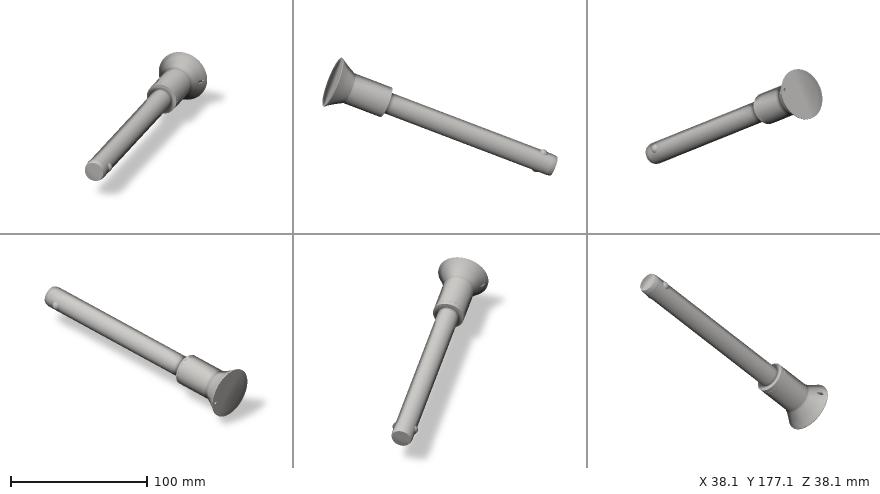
import cadquery as cq
import math

total_length = 177.1
tip_y = -total_length / 2
head_y = total_length / 2

rim_radius = 19.04
rim_thickness = 0.5
flare_end_y = head_y - 12.4
flare_sag = 0.4

sleeve_radius = 11.7
neck_radius = 12.0
neck_length = 0.9
sleeve_end_y = head_y - 42.9

groove_depth = 0.09
groove_width = 1.6
groove_offset = 1.6

shank_radius = 8.0
tip_radius = 7.3
tip_rounding_length = 3.4

ball_radius = 3.5
ball_reach = 9.5
ball_offset = 11.3

lanyard_diameter = 2.7
lanyard_x = 16.0


def make_body():
    """Revolve the half outline of head, sleeve and shank about the Y axis."""
    flare_start_y = head_y - rim_thickness
    flare_height = flare_start_y - flare_end_y
    flare_drop = rim_radius - neck_radius
    flare_slant = math.hypot(flare_height, flare_drop)
    flare_mid = (
        (rim_radius + neck_radius) / 2 - flare_sag * flare_height / flare_slant,
        (flare_start_y + flare_end_y) / 2 + flare_sag * flare_drop / flare_slant,
    )

    shank_end_y = tip_y + tip_rounding_length
    tip_inset = shank_radius - tip_radius
    arc_radius = (tip_rounding_length**2 + tip_inset**2) / (2 * tip_inset)
    half_angle = math.asin(tip_rounding_length / arc_radius) / 2
    tip_mid = (
        shank_radius - arc_radius * (1 - math.cos(half_angle)),
        shank_end_y - arc_radius * math.sin(half_angle),
    )

    return (
        cq.Workplane("XY")
        .moveTo(0, head_y)
        .lineTo(rim_radius, head_y)
        .lineTo(rim_radius, flare_start_y)
        .threePointArc(flare_mid, (neck_radius, flare_end_y))
        .lineTo(sleeve_radius, flare_end_y - neck_length)
        .lineTo(sleeve_radius, sleeve_end_y)
        .lineTo(shank_radius, sleeve_end_y)
        .lineTo(shank_radius, shank_end_y)
        .threePointArc(tip_mid, (tip_radius, tip_y))
        .lineTo(0, tip_y)
        .close()
        .revolve(360, (0, 0, 0), (0, 1, 0))
    )


def make_sleeve_groove():
    """Ring that cuts the shallow groove around the sleeve."""
    start_y = sleeve_end_y + groove_offset
    return (
        cq.Workplane("XZ", origin=(0, start_y, 0))
        .circle(rim_radius)
        .circle(sleeve_radius - groove_depth)
        .extrude(-groove_width)
    )


def make_ball(side):
    """Locking ball on the +X (side = 1) or -X (side = -1) flank."""
    center_x = side * (ball_reach - ball_radius)
    return cq.Workplane("XY").sphere(ball_radius).translate((center_x, tip_y + ball_offset, 0))


def make_lanyard_hole():
    """Cylinder parallel to Y, long enough to pass through the whole flare."""
    return (
        cq.Workplane("XZ", origin=(lanyard_x, head_y, 0))
        .circle(lanyard_diameter / 2)
        .extrude(head_y - flare_end_y)
    )


result = make_body().cut(make_sleeve_groove()).cut(make_lanyard_hole())
for side in (-1, 1):
    result = result.union(make_ball(side))